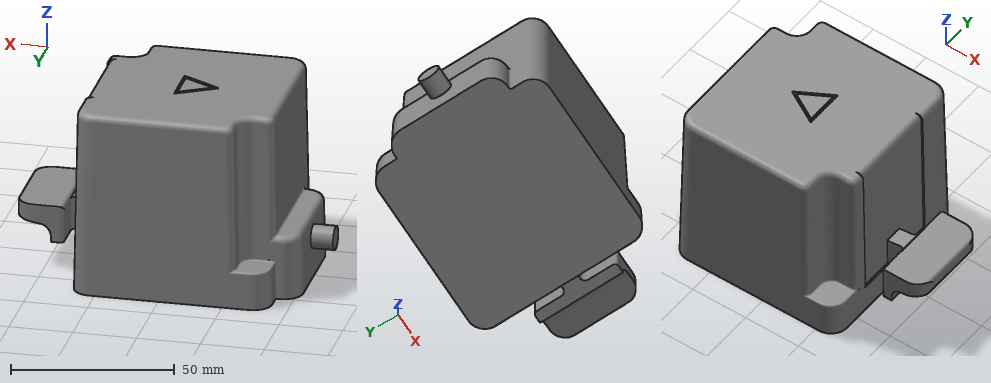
import cadquery as cq
import math

OVERALL_LENGTH = 97.09
DRAFT = 1.0
BODY_LENGTH = 62.05
BODY_WIDTH = 62.2
BODY_HEIGHT = 59.0
CORNER_RADIUS = 6.0
TOP_ROUND = 2.0

NOTCH_WALL = 20.6
NOTCH_CORNER_RADIUS = 4.0
NOTCH_EDGE_ROUND = 2.0
LEDGE_HEIGHT = 12.0
LEDGE_ROUND = 0.6

RECESS_HALF_WIDTH = 15.3
RECESS_DEPTH = 0.6
RECESS_FLOOR = 9.7

BOSS_REACH = 38.3
BOSS_HALF_WIDTH = NOTCH_WALL
BOSS_HEIGHT = 20.2
BOSS_ROOT_FILLET = 0.8
BOSS_LEDGE_FILLET = 0.4
PIN_DIAMETER = 7.5
PIN_END = 45.05
PIN_HEIGHT = 13.0

LEVER_BOTTOM = RECESS_FLOOR
LEVER_TOP = 21.65
LEVER_SLOPE = 7.4
ARM_HALF_WIDTH = 3.1
ARM_ROOT = 25.0
ARM_FLARE = 1.8
ARM_STEP_START = 36.0
ARM_STEP_HEIGHT = 20.3
GRIP_START = 36.8
GRIP_END = OVERALL_LENGTH - PIN_END
GRIP_HALF_WIDTH = 15.1
GRIP_BACK_ROUND = 1.3
GRIP_CORNER_RADIUS = 6.0
GRIP_EDGE_ROUND = 1.1
GRIP_FOOT_END = 40.6
GRIP_FOOT_DRAFT = 4.0
GRIP_TIP_BOTTOM = 16.5
GRIP_HOLLOW_RADIUS = 3.8

TRIANGLE_APEX = -8.2
TRIANGLE_BASE = 3.9
TRIANGLE_HALF_WIDTH = 6.9
TRIANGLE_FRAME = 0.65
TRIANGLE_RELIEF = 0.3

TOLERANCE = 0.001

half_length = BODY_LENGTH / 2
half_width = BODY_WIDTH / 2
draft_slope = math.tan(math.radians(DRAFT))
lever_rise = math.tan(math.radians(LEVER_SLOPE))


def drafted_block(length, width, height):
    """Block on Z = 0 whose walls lean inwards and whose upright corners are rounded."""
    block = cq.Workplane("XY").rect(length, width).extrude(height, taper=DRAFT)
    return block.edges("not #Z").fillet(CORNER_RADIUS)


def cut_notch(body, x_sign):
    """Cut the corner at (x_sign, -x_sign); the notch widens upwards."""
    center = NOTCH_WALL + half_width
    cutter = (
        cq.Workplane("XY")
        .center(x_sign * center, -x_sign * center)
        .sketch()
        .rect(BODY_WIDTH, BODY_WIDTH)
        .vertices()
        .fillet(NOTCH_CORNER_RADIUS)
        .finalize()
        .extrude(BODY_HEIGHT, taper=-DRAFT)
    )
    body = body.cut(cutter)
    for x, y in ((half_length, NOTCH_WALL), (NOTCH_WALL, half_width)):
        rim = cq.selectors.NearestToPointSelector((x_sign * x, -x_sign * y, BODY_HEIGHT / 2))
        body = body.edges(rim).fillet(NOTCH_EDGE_ROUND)
    return body


def cut_recess(body):
    """Set the middle of the +X wall back by a constant depth, from the recess floor up."""
    window = (
        cq.Workplane("XY", origin=(0, 0, RECESS_FLOOR))
        .box(BODY_LENGTH, 2 * RECESS_HALF_WIDTH, BODY_HEIGHT, centered=(False, True, False))
    )
    return body.cut(window.cut(body.translate((-RECESS_DEPTH, 0, 0))))


def is_ledge_root(edge):
    """True for the edges where a notch wall meets its ledge."""
    box = edge.BoundingBox()
    is_level = max(abs(box.zmin - LEDGE_HEIGHT), abs(box.zmax - LEDGE_HEIGHT)) < TOLERANCE
    center = edge.Center()
    x, y = abs(center.x), abs(center.y)
    tangent_line = NOTCH_WALL + NOTCH_CORNER_RADIUS
    rim_line = half_length - 2 * LEDGE_ROUND
    return is_level and min(x, y) < tangent_line - LEDGE_ROUND and max(x, y) < rim_line


def make_housing():
    tower = drafted_block(BODY_LENGTH, BODY_WIDTH, BODY_HEIGHT)
    for x_sign in (-1, 1):
        tower = cut_notch(tower, x_sign)
    tower = tower.faces(">Z").edges().fillet(TOP_ROUND)
    ledge_block = drafted_block(BODY_LENGTH, BODY_WIDTH, LEDGE_HEIGHT)
    ledge_block = ledge_block.faces(">Z").edges().fillet(LEDGE_ROUND)
    housing = tower.union(ledge_block)
    roots = [edge for edge in housing.edges().vals() if is_ledge_root(edge)]
    housing = housing.newObject(roots).fillet(LEDGE_ROUND)
    return housing


def make_boss():
    boss = drafted_block(2 * BOSS_REACH, 2 * BOSS_HALF_WIDTH, BOSS_HEIGHT)
    boss = boss.faces(">Z").edges().fillet(TOP_ROUND)
    keep = cq.Workplane("XY").box(
        BOSS_REACH, 2 * BOSS_HALF_WIDTH, BOSS_HEIGHT, centered=(False, True, False)
    )
    return boss.intersect(keep.translate((-BOSS_REACH, 0, 0)))


def boss_root_edges(body, beside_ledge):
    """Edges where the boss meets the -X wall, either beside the ledge or elsewhere."""
    wall_at_boss_top = half_length - BOSS_HEIGHT * draft_slope
    found = []
    for edge in body.edges().vals():
        box = edge.BoundingBox()
        on_wall = box.xmin > -half_length - TOLERANCE and box.xmax < -wall_at_boss_top + TOLERANCE
        on_boss = max(abs(box.ymin), abs(box.ymax)) < BOSS_HALF_WIDTH + TOLERANCE
        is_beside_ledge = box.ymin > 0 and box.zmax < LEDGE_HEIGHT
        if on_wall and on_boss and is_beside_ledge == beside_ledge:
            found.append(edge)
    return found


def add_boss(body):
    body = body.union(make_boss())
    for beside_ledge, radius in ((False, BOSS_ROOT_FILLET), (True, BOSS_LEDGE_FILLET)):
        body = body.newObject(boss_root_edges(body, beside_ledge)).fillet(radius)
    return body


def make_pin():
    pin = cq.Workplane("YZ", origin=(-PIN_END, 0, PIN_HEIGHT))
    return pin.circle(PIN_DIAMETER / 2).extrude(PIN_END - half_length)


def make_arm():
    flare_start = GRIP_START - ARM_FLARE
    arm_end = GRIP_START + GRIP_BACK_ROUND
    root_top = ARM_STEP_HEIGHT - (ARM_STEP_START - ARM_ROOT) * lever_rise
    flank = (
        cq.Workplane("XZ")
        .moveTo(ARM_ROOT, LEVER_BOTTOM)
        .lineTo(ARM_ROOT, root_top)
        .lineTo(ARM_STEP_START, ARM_STEP_HEIGHT)
        .tangentArcPoint((arm_end, LEVER_TOP - GRIP_BACK_ROUND / 2), relative=False)
        .lineTo(arm_end, LEVER_BOTTOM)
        .close()
        .extrude(GRIP_HALF_WIDTH, both=True)
    )
    flare_half_width = ARM_HALF_WIDTH + ARM_FLARE
    plan = (
        cq.Workplane("XY")
        .moveTo(ARM_ROOT, ARM_HALF_WIDTH)
        .lineTo(flare_start, ARM_HALF_WIDTH)
        .tangentArcPoint((GRIP_START, flare_half_width), relative=False)
        .lineTo(arm_end, flare_half_width)
        .lineTo(arm_end, -flare_half_width)
        .lineTo(GRIP_START, -flare_half_width)
        .radiusArc((flare_start, -ARM_HALF_WIDTH), -ARM_FLARE)
        .lineTo(ARM_ROOT, -ARM_HALF_WIDTH)
        .close()
        .extrude(LEVER_TOP)
    )
    return flank.intersect(plan)


def make_grip():
    length = GRIP_END - GRIP_START
    underside_at_foot = GRIP_TIP_BOTTOM - (GRIP_END - GRIP_FOOT_END) * lever_rise
    foot_lean = (underside_at_foot - LEVER_BOTTOM) * math.tan(math.radians(GRIP_FOOT_DRAFT))
    flank = (
        cq.Workplane("XZ")
        .moveTo(GRIP_START, LEVER_BOTTOM)
        .lineTo(GRIP_START, LEVER_TOP)
        .lineTo(GRIP_END, LEVER_TOP)
        .lineTo(GRIP_END, GRIP_TIP_BOTTOM)
        .lineTo(GRIP_FOOT_END + foot_lean, underside_at_foot)
        .lineTo(GRIP_FOOT_END, LEVER_BOTTOM)
        .close()
        .extrude(GRIP_HALF_WIDTH, both=True)
    )
    flank = flank.edges("|Y and >X").fillet(GRIP_EDGE_ROUND)
    flank = flank.edges("|Y and <X and >Z").fillet(GRIP_BACK_ROUND)
    hollow = cq.selectors.NearestToPointSelector((GRIP_FOOT_END + foot_lean, 0, underside_at_foot))
    flank = flank.edges(hollow).fillet(GRIP_HOLLOW_RADIUS)
    plan = (
        cq.Workplane("XY")
        .center(GRIP_START + length / 2, 0)
        .rect(length, 2 * GRIP_HALF_WIDTH)
        .extrude(LEVER_TOP)
        .edges("|Z and >X")
        .fillet(GRIP_CORNER_RADIUS)
        .edges("|Z and <X")
        .fillet(GRIP_BACK_ROUND)
    )
    return flank.intersect(plan)


def make_triangle():
    """Raised triangular frame with its apex pointing to -X."""
    outline = [
        (TRIANGLE_APEX, 0),
        (TRIANGLE_BASE, TRIANGLE_HALF_WIDTH),
        (TRIANGLE_BASE, -TRIANGLE_HALF_WIDTH),
    ]
    top = cq.Workplane("XY", origin=(0, 0, BODY_HEIGHT))
    plate = top.polyline(outline).close().extrude(TRIANGLE_RELIEF)
    opening = top.polyline(outline).close().offset2D(-TRIANGLE_FRAME).extrude(TRIANGLE_RELIEF)
    return plate.cut(opening)


result = add_boss(cut_recess(make_housing()))
for part in (make_pin(), make_arm(), make_grip(), make_triangle()):
    result = result.union(part)